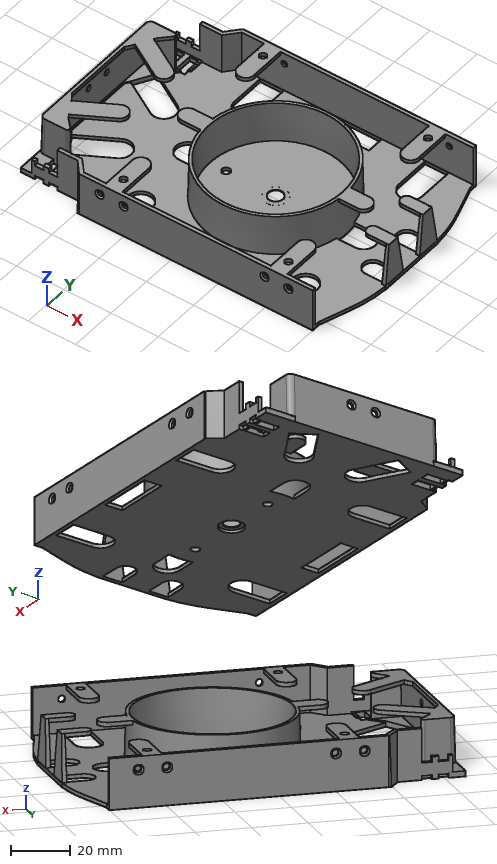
import cadquery as cq
import math

LENGTH = 134.8
WIDTH = 92.3
HEIGHT = 18.2
SHEET = 1.5
SIDE_WALL = 1.6
UNDER_TABS = HEIGHT - SHEET
STEP_HEIGHT = 2.0
CLEARANCE = 1.5

HALF_WIDTH = WIDTH / 2
NECK_HALF_WIDTH = 41.0
NECK_END = 24.1
JOG_END = 28.7
JOG_FLARE = 1.0
JOG_FLARE_TOP = 0.4
WALL_END = 127.5
TAPER_START_Y = 42.7
TAPER_END_Y = 20.8
TAPER_BLEND = 59.3
STEP_END = 16.5
WALL_FOOT = 0.1

RING_X = 77.2
RING_BASE_OUTER = 29.9
RING_TOP_OUTER = 29.5
RING_BASE_INNER = 27.9
RING_TOP_INNER = 28.3
CENTRE_HOLE = 6.0
CENTRE_RECESS = 9.5
CENTRE_RECESS_DEPTH = 1.1
RING_HOLE = 3.4
RING_HOLE_OFFSET = 21.0

TAB_ROOT_OVERLAP = 0.3
TAB_WIDTH = 7.0
SIDE_TAB_OFFSET = 34.9
SIDE_TAB_TIP_Y = 26.2
SIDE_TAB_HOLE = 3.0
SIDE_TAB_HOLE_Y = 39.4
RING_TAB_REACH = 40.7
FLOOR_WINDOW_LENGTH = 22.9
FLOOR_WINDOW_Y = 37.3

WALL_HOLE = 2.4
COUNTERSINK = 3.6
COUNTERSINK_DEPTH = 0.7
WALL_HOLE_SPACING = 10.1
WALL_HOLE_Z = 13.5

BOX_HALF_WIDTH = 30.9
BOX_RETURN_END = 12.4
BOX_CORNER = 2.0
BOX_END_ROUND = 1.0
BOX_LEAN = 0.5
BOX_INNER_FACE = BOX_LEAN + SHEET
BOX_TOP_INNER_Y = 14.8
BOX_TOP_BEVEL = 1.3

SLANT_ANGLE = 30.0
SLANT_TIP_CENTRE = (20.5, 12.5)
SLANT_LENGTH = 16.8

LATCH_START = 4.6
LATCH_GAPS = ((5.9, 9.6), (11.9, 15.5))
LATCH_FLOOR = 6.0
LATCH_TOOTH_TOP = 8.0
LATCH_WINDOWS = ((6.3, 9.6), (11.9, 15.5))
LATCH_WINDOW_Y = 38.5

HOOK_Y = 9.6
HOOK_WIDTH = 5.0
HOOK_BASE_WIDTH = 10.2
HOOK_TIP_X = 123.1
HOOK_FACE_X = 133.0
HOOK_LEAN = 0.5


def mirrored(solid):
    """A solid together with its mirror image across the XZ plane."""
    return solid.union(solid.mirror("XZ"))


def block(x0, x1, y0, y1, z0, z1):
    return cq.Workplane("XY").box(x1 - x0, y1 - y0, z1 - z0, centered=False).translate((x0, y0, z0))


def prism(points, z0, z1):
    return cq.Workplane("XY").workplane(offset=z0).polyline(points).close().extrude(z1 - z0)


def tongue(root, tip_centre, width, z0, z1, overlap=0.0):
    """A flat strip with a half-round end at tip_centre, starting the given overlap behind root."""
    dx = tip_centre[0] - root[0]
    dy = tip_centre[1] - root[1]
    length = math.hypot(dx, dy)
    half = width / 2
    return (
        cq.Workplane("XY")
        .moveTo(-overlap, -half)
        .lineTo(length, -half)
        .threePointArc((length + half, 0), (length, half))
        .lineTo(-overlap, half)
        .close()
        .extrude(z1 - z0)
        .rotate((0, 0, 0), (0, 0, 1), math.degrees(math.atan2(dy, dx)))
        .translate((root[0], root[1], z0))
    )


def floor_slot(root, tip_centre, width):
    return tongue(root, tip_centre, width + 2 * CLEARANCE, 0, STEP_HEIGHT)


def top_tab(root, tip_centre, width):
    return tongue(root, tip_centre, width, UNDER_TABS, HEIGHT, TAB_ROOT_OVERLAP)


floor_half = [
    (0, 0),
    (0, NECK_HALF_WIDTH),
    (NECK_END, NECK_HALF_WIDTH),
    (JOG_END, HALF_WIDTH),
    (WALL_END, HALF_WIDTH),
    (WALL_END, TAPER_START_Y),
    (LENGTH, TAPER_END_Y),
    (LENGTH, 0),
]
floor = mirrored(prism(floor_half, 0, SHEET))
for side in (1, -1):
    corner = cq.selectors.NearestToPointSelector((LENGTH, side * TAPER_END_Y, SHEET / 2))
    floor = floor.edges(corner).fillet(TAPER_BLEND)

slant_direction = (math.cos(math.radians(SLANT_ANGLE)), -math.sin(math.radians(SLANT_ANGLE)))
slant_root = tuple(c - SLANT_LENGTH * d for c, d in zip(SLANT_TIP_CENTRE, slant_direction))
slant_slot_half = TAB_WIDTH / 2 + CLEARANCE
slant_outer_corner = (
    slant_root[0] - slant_slot_half * slant_direction[1],
    slant_root[1] + slant_slot_half * slant_direction[0],
)
slant_inner_corner = (
    slant_root[0] + slant_slot_half * slant_direction[1],
    slant_root[1] - slant_slot_half * slant_direction[0],
)
step_corner_y = slant_outer_corner[1] + STEP_END - slant_outer_corner[0]
step_half = [
    (0, 0),
    (0, NECK_HALF_WIDTH),
    (STEP_END, NECK_HALF_WIDTH),
    (STEP_END, step_corner_y),
    slant_outer_corner,
    slant_inner_corner,
    (BOX_INNER_FACE, BOX_TOP_INNER_Y),
    (BOX_INNER_FACE, 0),
]
floor = floor.union(mirrored(prism(step_half, 0, STEP_HEIGHT)))

jog_angle = math.atan2(HALF_WIDTH - NECK_HALF_WIDTH, JOG_END - NECK_END)
jog_shift = SIDE_WALL * math.tan(jog_angle / 2)
wall_plan = [
    (LATCH_START, NECK_HALF_WIDTH),
    (NECK_END, NECK_HALF_WIDTH),
    (JOG_END, HALF_WIDTH),
    (WALL_END, HALF_WIDTH),
    (WALL_END, HALF_WIDTH - SIDE_WALL),
    (JOG_END + jog_shift, HALF_WIDTH - SIDE_WALL),
    (NECK_END + jog_shift, NECK_HALF_WIDTH - SIDE_WALL),
    (LATCH_START, NECK_HALF_WIDTH - SIDE_WALL),
]
wall = prism(wall_plan, 0, HEIGHT)
neck_inner_y = NECK_HALF_WIDTH - SIDE_WALL
latch_end = LATCH_GAPS[-1][1]
wall = wall.cut(block(LATCH_START, latch_end, neck_inner_y, NECK_HALF_WIDTH, LATCH_TOOTH_TOP, HEIGHT))
for x0, x1 in LATCH_GAPS:
    wall = wall.cut(block(x0, x1, neck_inner_y, NECK_HALF_WIDTH, LATCH_FLOOR, LATCH_TOOTH_TOP))

neck_corner = (NECK_END, NECK_HALF_WIDTH)
wall_corner = (JOG_END, HALF_WIDTH)
flare = (
    cq.Workplane("XY")
    .polyline([neck_corner, wall_corner, (JOG_END - JOG_FLARE, HALF_WIDTH)])
    .close()
    .workplane(offset=HEIGHT)
    .polyline([neck_corner, wall_corner, (JOG_END - JOG_FLARE_TOP, HALF_WIDTH - JOG_FLARE_TOP)])
    .close()
    .loft(ruled=True)
)
wall = wall.union(flare)
walls = mirrored(wall)

def box_envelope(inset, z1):
    """Outer form of the front box, shrunk by inset, with its leaning front face."""
    half = BOX_HALF_WIDTH - inset
    profile = [(inset, 0), (BOX_RETURN_END, 0), (BOX_RETURN_END, z1), (inset + BOX_LEAN * z1 / HEIGHT, z1)]
    return cq.Workplane("XZ").polyline(profile).close().extrude(half, both=True)


box = box_envelope(0, HEIGHT)
for side in (1, -1):
    front_corner = cq.selectors.NearestToPointSelector((0, side * BOX_HALF_WIDTH, HEIGHT / 2))
    rear_corner = cq.selectors.NearestToPointSelector((BOX_RETURN_END, side * BOX_HALF_WIDTH, HEIGHT / 2))
    box = box.edges(front_corner).fillet(BOX_CORNER).edges(rear_corner).fillet(BOX_END_ROUND)
box = box.cut(box_envelope(SHEET, UNDER_TABS))

box_flat_half = BOX_HALF_WIDTH - BOX_CORNER
front_strip = block(0, SHEET, -box_flat_half, box_flat_half, 0, STEP_HEIGHT)
box_base = block(0, BOX_RETURN_END, -BOX_HALF_WIDTH, BOX_HALF_WIDTH, 0, STEP_HEIGHT)
box = box.cut(box_base.cut(front_strip))
floor = floor.cut(front_strip)

top_opening_half = [
    (BOX_RETURN_END, 0),
    (BOX_RETURN_END, slant_outer_corner[1] + BOX_RETURN_END - slant_outer_corner[0]),
    slant_outer_corner,
    slant_inner_corner,
    (slant_inner_corner[0] - BOX_TOP_BEVEL, BOX_TOP_INNER_Y),
    (BOX_INNER_FACE, BOX_TOP_INNER_Y),
    (BOX_INNER_FACE, 0),
]
box = box.cut(mirrored(prism(top_opening_half, UNDER_TABS, HEIGHT)))

ring = (
    cq.Workplane("XZ")
    .polyline(
        [(RING_BASE_INNER, 0), (RING_BASE_OUTER, 0), (RING_TOP_OUTER, HEIGHT), (RING_TOP_INNER, HEIGHT)]
    )
    .close()
    .revolve(360, (0, 0), (0, 1))
    .translate((RING_X, 0, 0))
)

tabs = cq.Workplane("XY")
slots = cq.Workplane("XY")
tip_setback = TAB_WIDTH / 2
tab_layout = []
wall_inner_y = HALF_WIDTH - SIDE_WALL
slot_end_y = wall_inner_y - WALL_FOOT
for direction in (1, -1):
    tab_x = RING_X + direction * SIDE_TAB_OFFSET
    tab_layout.append(((tab_x, slot_end_y), (tab_x, SIDE_TAB_TIP_Y + tip_setback), TAB_WIDTH))
    ring_tab_root = (RING_X + direction * (RING_TOP_INNER + RING_TOP_OUTER) / 2, 0)
    ring_tab_tip = (RING_X + direction * (RING_TAB_REACH - tip_setback), 0)
    tab_layout.append((ring_tab_root, ring_tab_tip, TAB_WIDTH))
tab_layout.append((slant_root, SLANT_TIP_CENTRE, TAB_WIDTH))
tab_layout.append(((HOOK_FACE_X, HOOK_Y), (HOOK_TIP_X + HOOK_WIDTH / 2, HOOK_Y), HOOK_WIDTH))
for root, tip_centre, width in tab_layout:
    tabs = tabs.union(mirrored(top_tab(root, tip_centre, width)))
    slots = slots.union(mirrored(floor_slot(root, tip_centre, width)))

hook_plate = (
    cq.Workplane("YZ")
    .polyline(
        [
            (HOOK_Y - HOOK_BASE_WIDTH / 2, 0),
            (HOOK_Y + HOOK_BASE_WIDTH / 2, 0),
            (HOOK_Y + HOOK_WIDTH / 2, HEIGHT),
            (HOOK_Y - HOOK_WIDTH / 2, HEIGHT),
        ]
    )
    .close()
    .extrude(LENGTH)
)
hook_side = [(HOOK_FACE_X, 0), (LENGTH, 0), (LENGTH - HOOK_LEAN, HEIGHT), (HOOK_FACE_X, HEIGHT)]
hook_profile = cq.Workplane("XZ").polyline(hook_side).close().extrude(HALF_WIDTH, both=True)
hooks = mirrored(hook_plate.intersect(hook_profile))

window_half = FLOOR_WINDOW_LENGTH / 2
openings = block(RING_X - window_half, RING_X + window_half, FLOOR_WINDOW_Y, slot_end_y, 0, STEP_HEIGHT)
for x0, x1 in LATCH_WINDOWS:
    openings = openings.union(block(x0, x1, BOX_HALF_WIDTH, LATCH_WINDOW_Y, 0, STEP_HEIGHT))
for x0, x1 in LATCH_GAPS:
    openings = openings.union(block(x0, x1, neck_inner_y, NECK_HALF_WIDTH, 0, SHEET))
openings = mirrored(openings)

def upright_hole(x, y, diameter):
    return cq.Workplane("XY").center(x, y).circle(diameter / 2).extrude(HEIGHT)


def countersunk_hole(point, inward):
    """Through hole for one wall, countersunk at point on its outer face."""
    start = cq.Vector(*point)
    axis = cq.Vector(*inward)
    drill = cq.Solid.makeCylinder(WALL_HOLE / 2, 2 * SIDE_WALL, start, axis)
    sink = cq.Solid.makeCone(COUNTERSINK / 2, WALL_HOLE / 2, COUNTERSINK_DEPTH, start, axis)
    return cq.Workplane(obj=drill).union(cq.Workplane(obj=sink))


centre_recess = cq.Workplane("XY").center(RING_X, 0).circle(CENTRE_RECESS / 2).extrude(CENTRE_RECESS_DEPTH)
holes = upright_hole(RING_X, 0, CENTRE_HOLE).union(centre_recess)
hole_half_spacing = WALL_HOLE_SPACING / 2
box_face_x = BOX_LEAN * WALL_HOLE_Z / HEIGHT
for direction in (1, -1):
    holes = holes.union(upright_hole(RING_X + direction * RING_HOLE_OFFSET, 0, RING_HOLE))
    box_hole_point = (box_face_x, direction * hole_half_spacing, WALL_HOLE_Z)
    holes = holes.union(countersunk_hole(box_hole_point, (HEIGHT, 0, -BOX_LEAN)))
    tab_x = RING_X + direction * SIDE_TAB_OFFSET
    holes = holes.union(mirrored(upright_hole(tab_x, SIDE_TAB_HOLE_Y, SIDE_TAB_HOLE)))
    for side in (1, -1):
        wall_hole_point = (tab_x + side * hole_half_spacing, HALF_WIDTH, WALL_HOLE_Z)
        holes = holes.union(mirrored(countersunk_hole(wall_hole_point, (0, -1, 0))))

result = floor.cut(slots).union(walls).union(box).union(ring).union(hooks).union(tabs)
result = result.cut(openings).cut(holes)